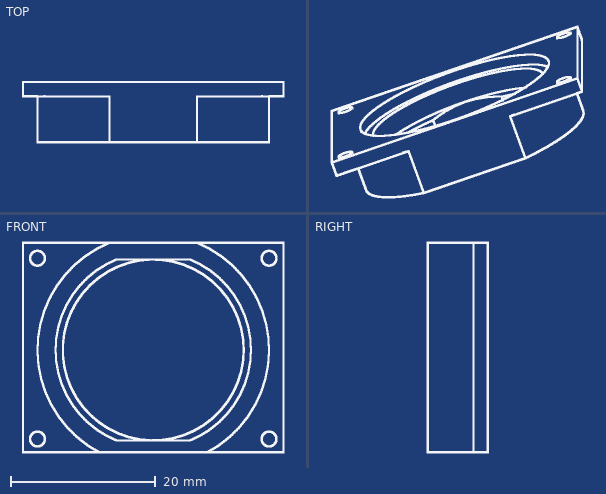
import cadquery as cq

plate_width = 36.0
plate_height = 28.98
plate_thickness = 2.0
total_depth = 8.35
front_y = -total_depth / 2
back_y = total_depth / 2

axis_z = -0.32
collar_diameter = 32.0

mouth_radius = 13.5
throat_radius = 12.5
back_recess_radius = 27.7 / 2
mouth_depth = 3.0
seat_depth = mouth_radius - throat_radius
back_recess_depth = 1.5
flat_half_height = 12.53

mount_hole_diameter = 2.0
mount_spacing_x = 32.0
mount_spacing_z = 25.0
mount_centre_z = -0.15


def make_plate():
    plate = cq.Workplane("XY").box(plate_width, plate_thickness, plate_height)
    return plate.translate((0, back_y - plate_thickness / 2, 0))


def make_collar():
    """Round collar trimmed flush with the plate's top and bottom edges."""
    collar = (
        cq.Workplane("XZ", origin=(0, back_y - plate_thickness, axis_z))
        .circle(collar_diameter / 2)
        .extrude(total_depth - plate_thickness)
    )
    return collar.intersect(cq.Workplane("XY").box(plate_width, total_depth, plate_height))


def make_bore():
    """Mouth with two flats, conical seat, throat and back recess."""
    seat_start_y = front_y + mouth_depth
    throat_start_y = seat_start_y + seat_depth
    recess_y = back_y - back_recess_depth
    front_bore = (
        cq.Workplane("XY")
        .moveTo(0, front_y)
        .lineTo(mouth_radius, front_y)
        .lineTo(mouth_radius, seat_start_y)
        .lineTo(throat_radius, throat_start_y)
        .lineTo(throat_radius, recess_y)
        .lineTo(0, recess_y)
        .close()
        .revolve(360, (0, 0, 0), (0, 1, 0))
    )
    flats = cq.Workplane("XY").box(plate_width, total_depth, 2 * flat_half_height)
    back_recess = cq.Workplane("XZ", origin=(0, back_y, 0)).circle(back_recess_radius).extrude(back_recess_depth)
    return front_bore.intersect(flats).union(back_recess).translate((0, 0, axis_z))


def make_mount_holes():
    return (
        cq.Workplane("XZ", origin=(0, back_y, mount_centre_z))
        .rarray(mount_spacing_x, mount_spacing_z, 2, 2)
        .circle(mount_hole_diameter / 2)
        .extrude(plate_thickness)
    )


result = make_plate().union(make_collar()).cut(make_bore()).cut(make_mount_holes())